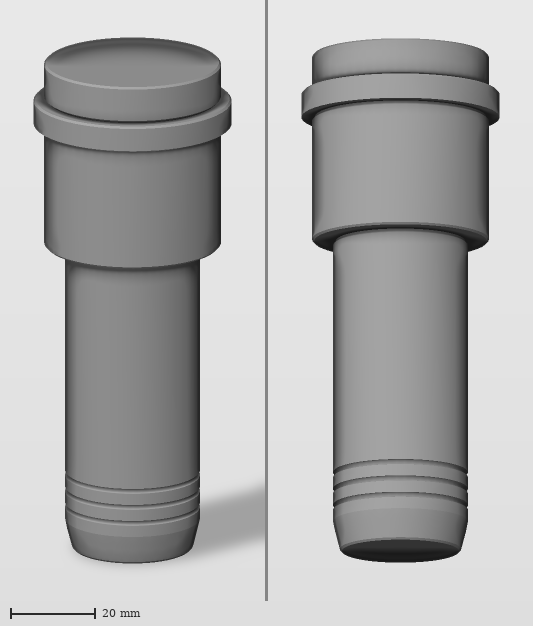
import cadquery as cq

total_height = 120.0
flange_radius = 23.5
body_radius = 21.0
pin_diameter = 32.0
pin_radius = pin_diameter / 2
tip_radius = 14.4

flange_top_z = 111.0
flange_bottom_z = 105.0
body_bottom_z = 75.0
taper_top_z = 7.2

edge_break = 0.5
head_undercut = 0.7
relief_depth = 0.6
relief_height = 1.0
groove_radius = 0.6
top_groove_z = 18.5
groove_pitch = 4.0
groove_count = 3
taper_bulge = 0.1


def cylinder(radius, bottom, top):
    return cq.Workplane("XY").workplane(offset=bottom).circle(radius).extrude(top - bottom)


def cut_relief(solid, radius, bottom, height):
    """Cut a relief whose lower wall is chamfered and whose upper wall is square."""
    floor_radius = radius - relief_depth
    outside = radius + relief_depth
    cutter = (
        cq.Workplane("XZ")
        .moveTo(radius, bottom)
        .lineTo(floor_radius, bottom + height / 2)
        .lineTo(floor_radius, bottom + height)
        .lineTo(outside, bottom + height)
        .lineTo(outside, bottom)
        .close()
        .revolve(360, (0, 0, 0), (0, 1, 0))
    )
    return solid.cut(cutter)


def cut_round_groove(pin, center_z):
    """Cut a ring groove of half-round section centred on the pin surface."""
    cutter = cq.Solid.makeTorus(pin_radius, groove_radius, cq.Vector(0, 0, center_z), cq.Vector(0, 0, 1))
    return pin.cut(cq.Workplane(obj=cutter))


def make_pin():
    """Guide pin with a bowed, tapered tip and a ring of grooves."""
    middle_radius = (pin_radius + tip_radius) / 2 + taper_bulge
    middle_z = (taper_top_z + edge_break) / 2
    pin = (
        cq.Workplane("XZ")
        .moveTo(0, 0)
        .lineTo(tip_radius - edge_break, 0)
        .lineTo(tip_radius, edge_break)
        .threePointArc((middle_radius, middle_z), (pin_radius, taper_top_z))
        .lineTo(pin_radius, body_bottom_z)
        .lineTo(0, body_bottom_z)
        .close()
        .revolve(360, (0, 0, 0), (0, 1, 0))
    )
    for index in range(groove_count):
        groove_z = top_groove_z - index * groove_pitch
        pin = cut_round_groove(pin, groove_z)
    return cut_relief(pin, pin_radius, body_bottom_z - relief_height, relief_height)


def make_body():
    """Wide body with a relief directly below the flange."""
    body = cylinder(body_radius, body_bottom_z, flange_bottom_z).faces("<Z").chamfer(edge_break)
    return cut_relief(body, body_radius, flange_bottom_z - relief_height, relief_height)


flange = cylinder(flange_radius, flange_bottom_z, flange_top_z).faces(">Z").chamfer(edge_break)
head = cylinder(body_radius, flange_top_z, total_height).faces(">Z").chamfer(edge_break)
head = head.faces("<Z").chamfer(head_undercut)

result = make_pin().union(make_body()).union(flange).union(head)